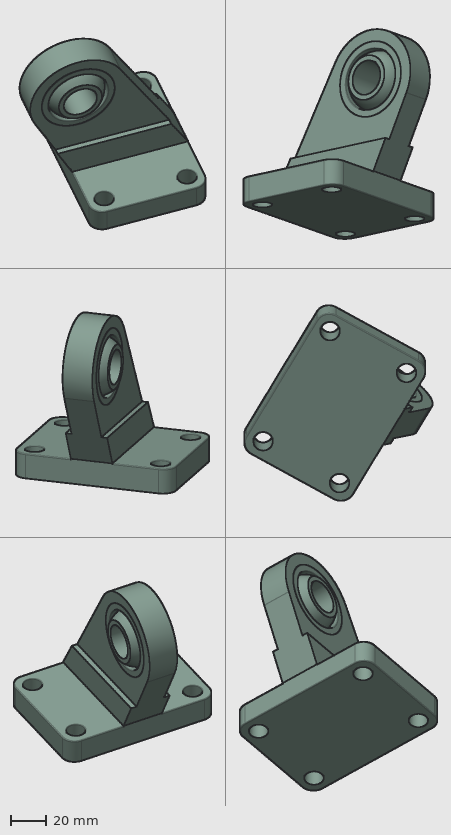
import cadquery as cq
import math

base_length = 96.0
base_width = 70.0
base_thickness = 15.0
corner_radius = 8.0
base_edge_fillet = 0.5
bolt_diameter = 11.0
bolt_spacing_x = 76.0
bolt_spacing_y = 50.0
bolt_edge_fillet = 0.3

eye_y = -30.0
eye_z = 71.0
eye_radius = 29.0
eye_thickness = 18.0
foot_thickness = 25.0
foot_top_z = 33.0

bearing_diameter = 44.0
bearing_edge_fillet = 0.25
seat_edge_fillet = 0.25
race_diameter = 36.0
ball_bore_diameter = 20.0
ball_width = 25.0
ball_face_diameter = 26.0


def tangent_point(y, z, side):
    """Point where the line from (y, z) touches the eye circle.

    Seen from the eye centre with Y to the right and Z up, a side of +1 turns counter-clockwise
    from (y, z) to the touch point and -1 turns clockwise.
    """
    distance = math.hypot(y - eye_y, z - eye_z)
    angle = math.atan2(z - eye_z, y - eye_y) + side * math.acos(eye_radius / distance)
    return (eye_y + eye_radius * math.cos(angle), eye_z + eye_radius * math.sin(angle))


def make_base():
    """Plate with rounded edges and four bolt holes, rounded at their upper rims."""
    plate = (
        cq.Workplane("XY")
        .rect(base_length, base_width)
        .extrude(base_thickness)
        .edges("|Z")
        .fillet(corner_radius)
        .faces("<Z or >Z")
        .edges()
        .fillet(base_edge_fillet)
    )
    bolt_holes = (
        cq.Workplane("XY")
        .rect(bolt_spacing_x, bolt_spacing_y, forConstruction=True)
        .vertices()
        .circle(bolt_diameter / 2)
        .extrude(base_thickness)
    )
    drilled_plate = plate.cut(bolt_holes)
    return (
        drilled_plate.faces(">Z")
        .edges(cq.selectors.RadiusNthSelector(0))
        .fillet(bolt_edge_fillet)
    )


def make_eye_profile(thickness):
    """Plate whose two sloping sides run tangent into the round eye.

    Its lower end reaches into the base by the edge fillet, so it meets the base over its full width.
    """
    half_width = base_width / 2
    back_touch = tangent_point(half_width, base_thickness, 1)
    front_touch = tangent_point(-half_width, base_thickness, -1)
    buried_z = base_thickness - base_edge_fillet
    return (
        cq.Workplane("YZ")
        .moveTo(-half_width, buried_z)
        .lineTo(half_width, buried_z)
        .lineTo(half_width, base_thickness)
        .lineTo(*back_touch)
        .threePointArc((eye_y, eye_z + eye_radius), front_touch)
        .lineTo(-half_width, base_thickness)
        .close()
        .extrude(thickness / 2, both=True)
    )


def make_foot():
    """Lower part of the eye plate outline, wider than the eye and cut level at its top."""
    foot_zone = cq.Workplane("XY").box(
        base_length,
        2 * (base_width / 2 + eye_radius),
        foot_top_z,
        centered=(True, True, False),
    )
    return make_eye_profile(foot_thickness).intersect(foot_zone)


def make_eye():
    """Eye plate with the rounded-edge seat that holds the bearing."""
    bearing_seat = (
        cq.Workplane("YZ")
        .workplane(offset=-eye_thickness / 2)
        .center(eye_y, eye_z)
        .circle(bearing_diameter / 2)
        .extrude(eye_thickness)
    )
    return (
        make_eye_profile(eye_thickness)
        .cut(bearing_seat)
        .faces("<X or >X")
        .edges(cq.selectors.RadiusNthSelector(0))
        .fillet(seat_edge_fillet)
    )


def make_housing():
    """Base, foot and eye joined into one body."""
    return make_base().union(make_foot()).union(make_eye())


def make_bearing():
    """Race ring and ball as one body; the ball is slightly larger in diameter than the race bore."""
    ring = (
        cq.Workplane("YZ")
        .workplane(offset=-eye_thickness / 2)
        .circle(bearing_diameter / 2)
        .circle(race_diameter / 2)
        .extrude(eye_thickness)
        .faces("<X or >X")
        .edges()
        .fillet(bearing_edge_fillet)
    )
    ball_diameter = math.hypot(ball_width, ball_face_diameter)
    ball_width_zone = cq.Workplane("XY").box(ball_width, bearing_diameter, bearing_diameter)
    ball = cq.Workplane("YZ").sphere(ball_diameter / 2).intersect(ball_width_zone)
    ball_bore = (
        cq.Workplane("YZ")
        .workplane(offset=-ball_width / 2)
        .circle(ball_bore_diameter / 2)
        .extrude(ball_width)
    )
    return ring.union(ball).cut(ball_bore).translate((0, eye_y, eye_z))


housing = make_housing()
bearing = make_bearing()

result = cq.Compound.makeCompound([housing.val(), bearing.val()])